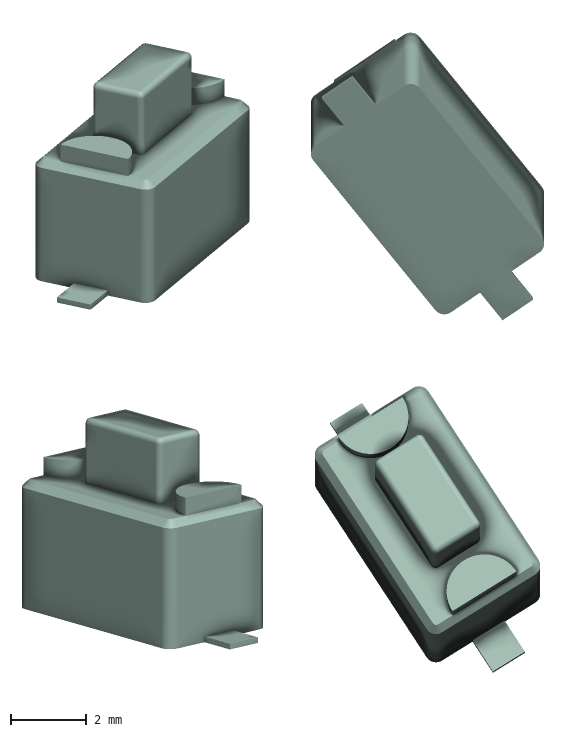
import cadquery as cq

HOUSING_WIDTH = 3.5
HOUSING_LENGTH = 6.0
HOUSING_HEIGHT = 3.5
HOUSING_CORNER_RADIUS = 0.3
HOUSING_CHAMFER = 0.2

BOSS_RADIUS = 1.0
BOSS_HEIGHT = 0.5
BOSS_FLAT_Y = HOUSING_LENGTH / 2 - HOUSING_CHAMFER

TOTAL_HEIGHT = 5.3
BUTTON_WIDTH = 1.5
BUTTON_LENGTH = HOUSING_LENGTH / 2
BUTTON_HEIGHT = TOTAL_HEIGHT - HOUSING_HEIGHT
BUTTON_ROUNDING = 0.15

TERMINAL_LENGTH = 8.0
TERMINAL_WIDTH = 1.0
TERMINAL_THICKNESS = 0.15


def upright_block(width, length, height, base_z=0.0):
    """Block centred on the Z axis, rising from base_z."""
    return cq.Workplane("XY").workplane(offset=base_z).rect(width, length).extrude(height)


def make_boss(side):
    """Half-round boss at the +Y (side = 1) or -Y (side = -1) end."""
    flat_y = side * BOSS_FLAT_Y
    return (
        cq.Workplane("XY")
        .workplane(offset=HOUSING_HEIGHT)
        .moveTo(-BOSS_RADIUS, flat_y)
        .threePointArc((0, flat_y - side * BOSS_RADIUS), (BOSS_RADIUS, flat_y))
        .close()
        .extrude(BOSS_HEIGHT)
    )


def make_terminal():
    """Flat strip, flush with the housing bottom and protruding at both ends."""
    return upright_block(TERMINAL_WIDTH, TERMINAL_LENGTH, TERMINAL_THICKNESS)


def make_housing():
    """Housing with both bosses and a slot that holds the terminal strip."""
    housing = (
        upright_block(HOUSING_WIDTH, HOUSING_LENGTH, HOUSING_HEIGHT)
        .edges("|Z")
        .fillet(HOUSING_CORNER_RADIUS)
        .faces(">Z")
        .chamfer(HOUSING_CHAMFER)
    )
    for side in (-1, 1):
        housing = housing.union(make_boss(side))
    return housing.cut(make_terminal())


def make_button():
    """Button with rounded upright edges and a rounded top rim."""
    return (
        upright_block(BUTTON_WIDTH, BUTTON_LENGTH, BUTTON_HEIGHT, HOUSING_HEIGHT)
        .edges("|Z or >Z")
        .fillet(BUTTON_ROUNDING)
    )


housing = make_housing()
button = make_button()
terminal = make_terminal()

result = cq.Compound.makeCompound([housing.val(), button.val(), terminal.val()])